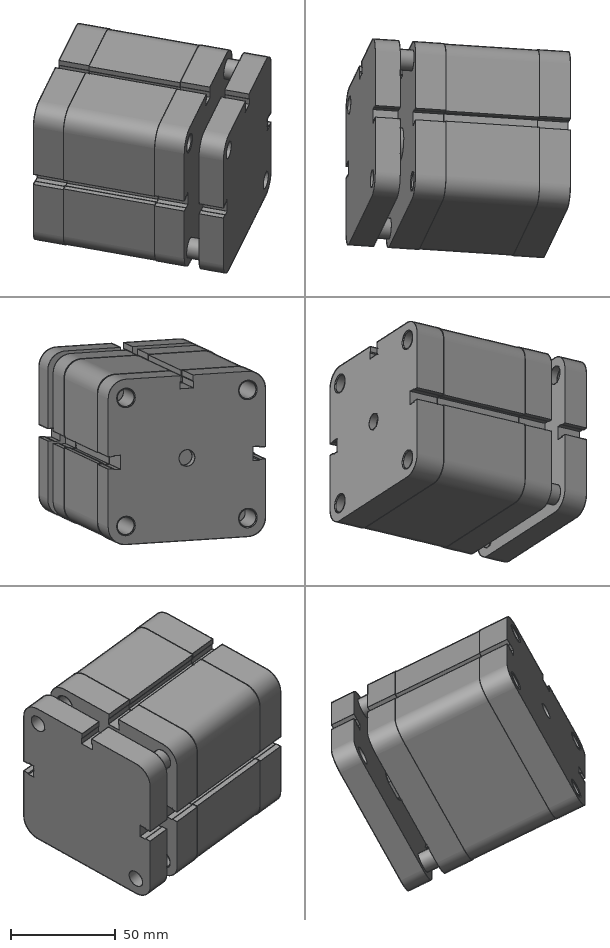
import cadquery as cq
TOTAL_LENGTH = 94.5
REAR_CAP_LENGTH = 14.9
TUBE_END = 60.3
HOUSING_LENGTH = 75.0
PLATE_LENGTH = 12.1
PLATE_START = TOTAL_LENGTH - PLATE_LENGTH
GAP = PLATE_START - HOUSING_LENGTH

SIDE = 80.0
CORNER_RADIUS = 9.0
TUBE_INSET = 0.2

CAP_SLOT = (6.0, 6.8, 6.3)
TUBE_SLOT = (5.2, 6.6, 6.0)
SLOT_NECK_DEPTH = 2.8
SLOT_ANGLES = (-90, 0, 90)

CORNER_PITCH = 62.0
CORNER_OFFSET = CORNER_PITCH / 2
CORNER_HOLE_DIAMETER = 8.5
HOLE_CHAMFER = 0.5
PLATE_COUNTERBORE_DIAMETER = 9.0
PLATE_COUNTERBORE_DEPTH = 3.8
BLIND_HOLE_DEPTH = REAR_CAP_LENGTH
ROD_CENTRES = ((CORNER_OFFSET, CORNER_OFFSET), (-CORNER_OFFSET, -CORNER_OFFSET))
THROUGH_HOLE_CENTRES = ((CORNER_OFFSET, -CORNER_OFFSET), (-CORNER_OFFSET, CORNER_OFFSET))

CENTRE_HOLE_DIAMETER = 8.0
CENTRE_HOLE_DEPTH = 4.0

GUIDE_ROD_DIAMETER = 10.0

PISTON_ROD_DIAMETER = 16.0
PISTON_ROD_FLATS = 13.0
COLLAR_LENGTH = 1.3
PISTON_ROD_CHAMFER = 0.3


def section_plane(x):
    """Workplane across the X axis, with local x along +Y and local y along +Z."""
    return cq.Workplane("YZ", origin=(x, 0, 0))


def slot_cutter(start, length, mouth_width, inner_width, depth):
    """T-slot cutter for the top side, with sloped shoulders under the mouth."""
    mouth = mouth_width / 2
    inner = inner_width / 2
    top = SIDE / 2
    shoulder = top - SLOT_NECK_DEPTH
    return (
        section_plane(start)
        .polyline([
            (-mouth, top),
            (-mouth, shoulder),
            (-inner, shoulder - (inner - mouth)),
            (-inner, top - depth),
            (inner, top - depth),
            (inner, shoulder - (inner - mouth)),
            (mouth, shoulder),
            (mouth, top),
        ])
        .close()
        .extrude(length)
    )


def slotted_block(start, length, inset, mouth_width, inner_width, slot_depth):
    """Rounded square block with a T-slot in the top and in each Y side."""
    width = SIDE - 2 * inset
    block = section_plane(start).rect(width, width).extrude(length)
    block = block.edges("|X").fillet(CORNER_RADIUS)
    cutter = slot_cutter(start, length, mouth_width, inner_width, slot_depth)
    for angle in SLOT_ANGLES:
        block = block.cut(cutter.rotate((0, 0, 0), (1, 0, 0), angle))
    return block


def hole_cutter(start, length, centres, chamfer_ends=()):
    """Round cutters along X, flared by a chamfer at each (X position, inward X direction) given."""
    radius = CORNER_HOLE_DIAMETER / 2
    cutter = section_plane(start).pushPoints(centres).circle(radius).extrude(length)
    for x, direction in chamfer_ends:
        for y, z in centres:
            cone = cq.Solid.makeCone(
                radius + HOLE_CHAMFER, radius, HOLE_CHAMFER,
                pnt=cq.Vector(x, y, z), dir=cq.Vector(direction, 0, 0),
            )
            cutter = cutter.union(cq.Workplane(cone))
    return cutter


def make_housing():
    """Rear cap, slightly inset tube and front cap as one housing."""
    tube_length = TUBE_END - REAR_CAP_LENGTH
    front_cap_length = HOUSING_LENGTH - TUBE_END
    rear_cap = slotted_block(0, REAR_CAP_LENGTH, 0, *CAP_SLOT)
    tube = slotted_block(REAR_CAP_LENGTH, tube_length, TUBE_INSET, *TUBE_SLOT)
    front_cap = slotted_block(TUBE_END, front_cap_length, 0, *CAP_SLOT)
    body = rear_cap.union(tube).union(front_cap)

    through_holes = hole_cutter(0, HOUSING_LENGTH, THROUGH_HOLE_CENTRES, [(0, 1), (HOUSING_LENGTH, -1)])
    blind_holes = hole_cutter(0, BLIND_HOLE_DEPTH, ROD_CENTRES, [(0, 1)])
    centre_hole = section_plane(0).circle(CENTRE_HOLE_DIAMETER / 2).extrude(CENTRE_HOLE_DEPTH)
    return body.cut(through_holes).cut(blind_holes).cut(centre_hole)


def make_yoke_plate():
    """Slotted end plate with counterbored through holes in line with those of the housing."""
    plate = slotted_block(PLATE_START, PLATE_LENGTH, 0, *CAP_SLOT)
    holes = hole_cutter(PLATE_START, PLATE_LENGTH, THROUGH_HOLE_CENTRES)
    counterbores = (
        section_plane(PLATE_START)
        .pushPoints(THROUGH_HOLE_CENTRES)
        .circle(PLATE_COUNTERBORE_DIAMETER / 2)
        .extrude(PLATE_COUNTERBORE_DEPTH)
    )
    return plate.cut(holes).cut(counterbores)


def make_piston_rod():
    """Round rod with a full collar at the housing and two wrench flats facing +Z and -Z."""
    rod = section_plane(HOUSING_LENGTH).circle(PISTON_ROD_DIAMETER / 2).extrude(GAP)
    rod = rod.faces(">X").edges().chamfer(PISTON_ROD_CHAMFER)
    collar_end = HOUSING_LENGTH + COLLAR_LENGTH
    collar = section_plane(HOUSING_LENGTH).rect(PISTON_ROD_DIAMETER, PISTON_ROD_DIAMETER).extrude(COLLAR_LENGTH)
    flats = section_plane(collar_end).rect(PISTON_ROD_DIAMETER, PISTON_ROD_FLATS).extrude(GAP - COLLAR_LENGTH)
    return rod.intersect(collar.union(flats))


def make_guide_rod(y, z):
    """Plain guide rod between the housing and the yoke plate."""
    return section_plane(HOUSING_LENGTH).center(y, z).circle(GUIDE_ROD_DIAMETER / 2).extrude(GAP)


housing = make_housing()
yoke_plate = make_yoke_plate()
piston_rod = make_piston_rod()
guide_rods = [make_guide_rod(y, z) for y, z in ROD_CENTRES]

result = cq.Compound.makeCompound([
    housing.val(),
    yoke_plate.val(),
    piston_rod.val(),
    *[rod.val() for rod in guide_rods],
])